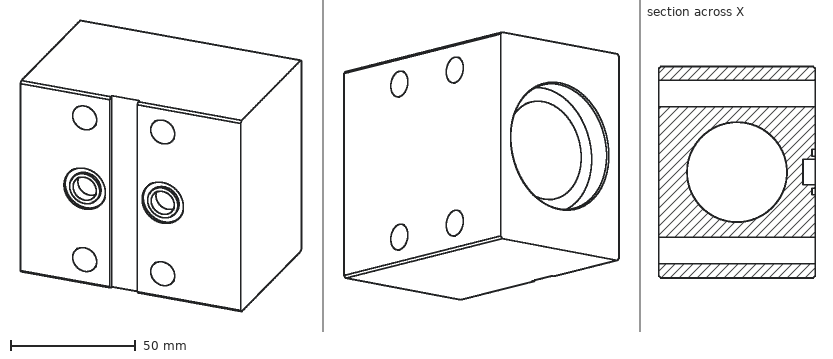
import cadquery as cq

length = 96.0
depth = 63.0
height = 85.0
edge_chamfer = 1.0

bore_diameter = 40.0
bore_depth = 72.0
gland_diameter = 51.2
gland_depth = 10.0
gland_chamfer_radial = 0.5
gland_chamfer_axial = 0.9

first_column_x = 28.0
column_spacing = 34.0
column_positions = [first_column_x, first_column_x + column_spacing]

mounting_diameter = 10.5
mounting_spacing_z = 63.0

groove_outer_diameter = 18.0
groove_inner_diameter = 13.2
groove_depth = 1.3
drilling_diameter = 10.1
drilling_depth = 5.0

keyway_start_x = 39.0
keyway_width = 12.0
keyway_depth = 2.0


def hole_along_x(diameter, hole_depth):
    """Cylinder on the bore axis, from the -X face inwards."""
    return cq.Workplane("YZ", origin=(0, depth / 2, 0)).circle(diameter / 2).extrude(hole_depth)


def hole_along_y(x, z, diameter, hole_depth):
    """Cylinder from the -Y face inwards."""
    return cq.Workplane("XZ", origin=(x, 0, z)).circle(diameter / 2).extrude(-hole_depth)


def stepped_bore():
    """Bore with a wider gland seat whose mouth is chamfered."""
    mouth = (
        cq.Workplane("YZ", origin=(0, depth / 2, 0))
        .circle(gland_diameter / 2 + gland_chamfer_radial)
        .workplane(offset=gland_chamfer_axial)
        .circle(gland_diameter / 2)
        .loft()
    )
    gland = hole_along_x(gland_diameter, gland_depth)
    bore = hole_along_x(bore_diameter, bore_depth)
    return bore.union(gland).union(mouth)


def port(x):
    """Drilling and the ring-shaped groove around it."""
    groove_core = hole_along_y(x, 0, groove_inner_diameter, groove_depth)
    groove = hole_along_y(x, 0, groove_outer_diameter, groove_depth).cut(groove_core)
    drilling = hole_along_y(x, 0, drilling_diameter, drilling_depth)
    return groove.union(drilling)


def keyway():
    """Rectangular channel along Z."""
    channel = cq.Workplane("XY").box(keyway_width, keyway_depth, height, centered=(False, False, True))
    return channel.translate((keyway_start_x, 0, 0))


block = cq.Workplane("XY").box(length, depth, height, centered=(False, False, True))
block = block.edges("|X").chamfer(edge_chamfer)
result = block.cut(keyway()).cut(stepped_bore())

for column_x in column_positions:
    result = result.cut(port(column_x))
    for mounting_z in (-mounting_spacing_z / 2, mounting_spacing_z / 2):
        result = result.cut(hole_along_y(column_x, mounting_z, mounting_diameter, depth))